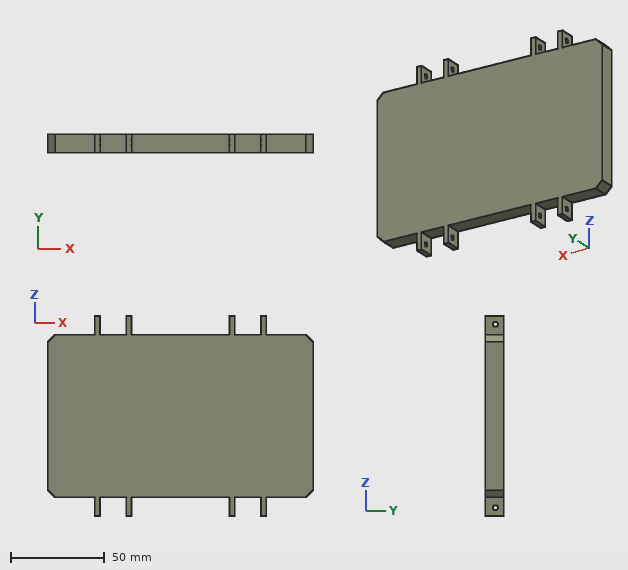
import cadquery as cq

plate_length = 142.0
plate_height = 87.0
thickness = 10.0
corner_chamfer = 4.0

overall_height = 107.0
tab_width = 3.0
inner_tab_offset = 27.5
outer_tab_offset = 44.5
tab_positions = [-outer_tab_offset, -inner_tab_offset, inner_tab_offset, outer_tab_offset]

hole_diameter = 2.5
hole_end_distance = 4.5
hole_y = 0.5
hole_z = overall_height / 2 - hole_end_distance


def make_plate():
    """Rectangular plate with its four corners chamfered."""
    plate = cq.Workplane("XY").box(plate_length, thickness, plate_height)
    return plate.edges("|Y").chamfer(corner_chamfer)


def make_tab_pair(x):
    """Bar running through the plate, leaving a tab above and a tab below it."""
    return cq.Workplane("XY").box(tab_width, thickness, overall_height).translate((x, 0, 0))


def make_tab_holes(z):
    """Cylinder along X that pierces every tab at height z."""
    drill = cq.Workplane("YZ").center(hole_y, z).circle(hole_diameter / 2)
    return drill.extrude(plate_length / 2, both=True)


result = make_plate()
for tab_x in tab_positions:
    result = result.union(make_tab_pair(tab_x))
for row_z in (-hole_z, hole_z):
    result = result.cut(make_tab_holes(row_z))